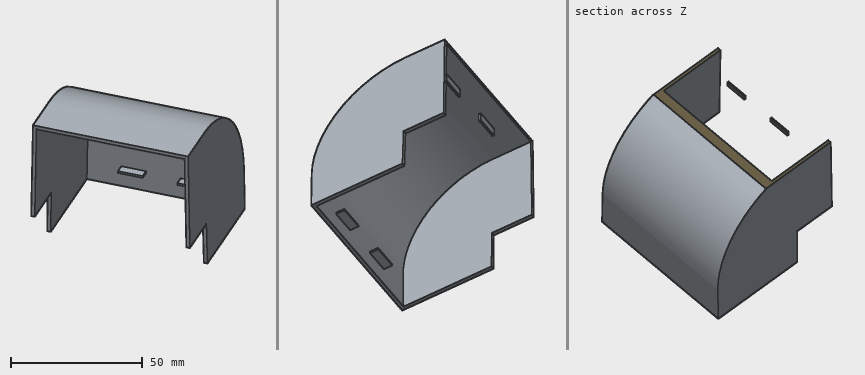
import cadquery as cq
import math


base_width = 65.0
size = 59.3
wall = 1.5
draft = 1.0
bend_radius = 42.0
notch_size = 18.0

back_tab_width = 10.0
roof_tab_width = 9.55
tab_thickness = 0.8
tab_reach = 5.25
tab_inset = 8.6
tab_tip_radius = 2.4
tab_spacing = 24.05

slope = math.tan(math.radians(draft))
overshoot = 3.25
back_tab_plane = cq.Plane(origin=(0, 0, 0), xDir=(0, 1, 0), normal=(1, 0, 0))
roof_tab_plane = cq.Plane(origin=(0, 0, 0), xDir=(0, 0, 1), normal=(-1, 0, 0))


def bent_prism(start, end, radius):
    """Square side outline from start to end with its top back corner rounded, full width."""
    arc_center = end - radius
    arc_middle = arc_center + radius * math.sqrt(0.5)
    return (
        cq.Workplane("YZ")
        .moveTo(start, start)
        .lineTo(end, start)
        .lineTo(end, arc_center)
        .threePointArc((arc_middle, arc_middle), (arc_center, end))
        .lineTo(start, end)
        .close()
        .extrude(base_width / 2, both=True)
    )


def drafted_prism(start, inset):
    """Space between the leaning side walls, set in from their outer faces by inset."""
    half_bottom = base_width / 2 - inset - start * slope
    half_top = base_width / 2 - inset - size * slope
    return (
        cq.Workplane("XZ", origin=(0, start, 0))
        .moveTo(-half_bottom, start)
        .lineTo(half_bottom, start)
        .lineTo(half_top, size)
        .lineTo(-half_top, size)
        .close()
        .extrude(start - size)
    )


def make_shell():
    outside = bent_prism(0, size, bend_radius).intersect(drafted_prism(0, 0))
    cavity = bent_prism(-overshoot, size - wall, bend_radius - wall)
    cavity = cavity.intersect(drafted_prism(-overshoot, wall))
    return outside.cut(cavity)


def make_notch():
    """Lower front corner taken out of both side walls, its back edge leaning by the draft."""
    bottom_length = notch_size + notch_size * slope
    return (
        cq.Workplane("YZ")
        .polyline([(0, 0), (bottom_length, 0), (notch_size, notch_size), (0, notch_size)])
        .close()
        .extrude(base_width / 2, both=True)
    )


def make_tab(plane, width):
    """Tab with its root buried in the wall and an arc across its tip."""
    root = size - wall / 2
    tip = size - tab_reach
    near_face = tab_inset - tab_thickness / 2
    far_face = tab_inset + tab_thickness / 2
    tip_setback = tab_tip_radius - math.sqrt(tab_tip_radius**2 - tab_thickness**2)
    return (
        cq.Workplane(plane)
        .moveTo(root, near_face)
        .lineTo(tip, near_face)
        .radiusArc((tip + tip_setback, far_face), tab_tip_radius)
        .lineTo(root, far_face)
        .close()
        .extrude(width / 2, both=True)
    )


def add_tabs(body):
    """A pair of tabs standing on the back wall and a matching pair hanging from the roof."""
    back_tab = make_tab(back_tab_plane, back_tab_width)
    roof_tab = make_tab(roof_tab_plane, roof_tab_width)
    for side in (-1, 1):
        offset = (side * tab_spacing / 2, 0, 0)
        body = body.union(back_tab.translate(offset))
        body = body.union(roof_tab.translate(offset))
    return body


result = add_tabs(make_shell().cut(make_notch()))